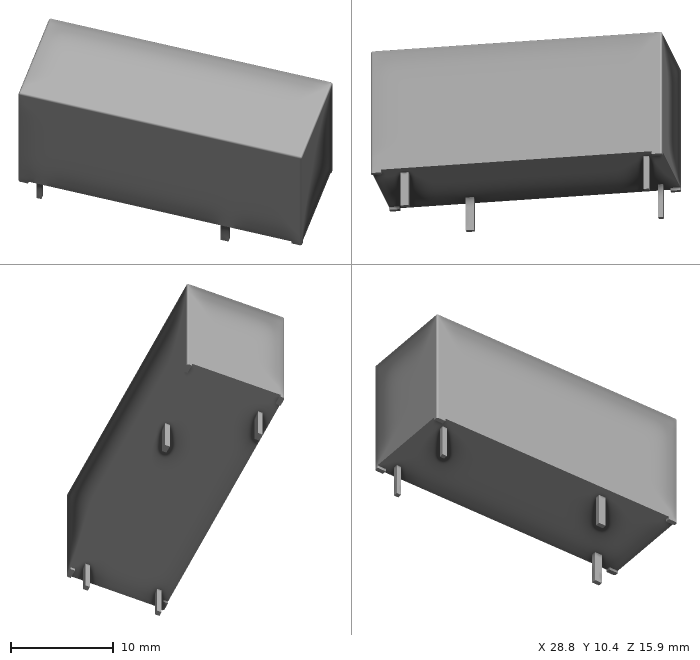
import cadquery as cq

LENGTH = 28.8
WIDTH = 10.4
TOTAL_HEIGHT = 15.9
HOUSING_HEIGHT = 12.75
EDGE_RADIUS = 0.2
FOOT_LENGTH = 1.0
FOOT_WIDTH = 0.5
FOOT_HEIGHT = 0.3

PIN_THICKNESS = 0.5
NARROW_PIN_WIDTH = 0.52
WIDE_PIN_WIDTH = 0.8
PIN_ROW_SPACING = 7.63
END_PIN_X = -12.65
FRONT_WIDE_PIN_X = 6.22
WIDE_PIN_PITCH = 5.05

UNDERSIDE_Z = FOOT_HEIGHT
PIN_TIP_Z = HOUSING_HEIGHT - TOTAL_HEIGHT
FRONT_ROW_Y = -PIN_ROW_SPACING / 2
BACK_ROW_Y = PIN_ROW_SPACING / 2

PINS = [
    (END_PIN_X, FRONT_ROW_Y, NARROW_PIN_WIDTH),
    (END_PIN_X, BACK_ROW_Y, NARROW_PIN_WIDTH),
    (FRONT_WIDE_PIN_X, FRONT_ROW_Y, WIDE_PIN_WIDTH),
    (FRONT_WIDE_PIN_X + WIDE_PIN_PITCH, BACK_ROW_Y, WIDE_PIN_WIDTH),
]


def block(length, width, bottom, top):
    """Rectangular block centred on the Z axis between two heights."""
    return cq.Workplane("XY").workplane(offset=bottom).rect(length, width).extrude(top - bottom)


def make_housing():
    """Block with rounded upright and top edges, relieved below to leave corner feet."""
    body = block(LENGTH, WIDTH, 0, HOUSING_HEIGHT)
    body = body.edges("|Z or >Z").fillet(EDGE_RADIUS)
    lengthwise_relief = block(LENGTH, WIDTH - 2 * FOOT_WIDTH, 0, FOOT_HEIGHT)
    crosswise_relief = block(LENGTH - 2 * FOOT_LENGTH, WIDTH, 0, FOOT_HEIGHT)
    return body.cut(lengthwise_relief).cut(crosswise_relief)


def make_pin(x, y, width):
    """Straight rectangular pin reaching down from the underside."""
    return block(width, PIN_THICKNESS, PIN_TIP_Z, UNDERSIDE_Z).translate((x, y, 0))


housing = make_housing()
pins = [make_pin(x, y, width) for x, y, width in PINS]

result = cq.Compound.makeCompound([housing.val(), *[pin.val() for pin in pins]])